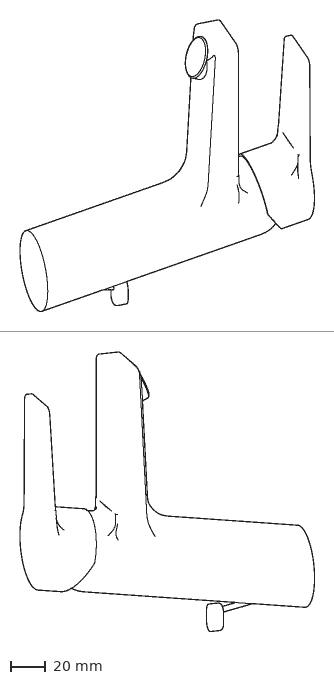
import cadquery as cq
import math

AXIS_TILT = 10.0
TILT_COS = math.cos(math.radians(AXIS_TILT))
TILT_SIN = math.sin(math.radians(AXIS_TILT))

BODY_RADIUS = 23.4
BODY_START = 15.8
BODY_LENGTH = 169.5
BODY_BACK_ROUND = 17.0
BODY_FRONT = 162.5

HANDLE_RADIUS = 24.2
HANDLE_TOP_LENGTH = 29.0
HANDLE_BOTTOM_LENGTH = 18.3
HANDLE_BACK_ROUND = 0.7

LEVER_TOP = 88.3
LEVER_BASE = 3.4
LEVER_TOP_WIDTH = 32.5
LEVER_BASE_WIDTH = 34.7
LEVER_TOP_DEPTH = 4.0
LEVER_BASE_DEPTH = 8.8
LEVER_CORNER_ROUND = 4.2
LEVER_EDGE_ROUND = 0.7
LEVER_SIDE_ROOT_ROUND = 15.3
LEVER_FRONT_ROOT_ROUND = 6.0
LEVER_ROOT_TOP = 26.6

SPOUT_TOP = 107.6
SPOUT_BASE = -3.4
SPOUT_WIDTH = 34.7
SPOUT_BACK = 43.7
SPOUT_CROWN_RADIUS = 32.2
SPOUT_CROWN_TOP = 63.0
SPOUT_FRONT_SLOPE = 3.0
SPOUT_CORNER_ROUND = 4.7
SPOUT_SEAT_EDGE_ROUND = 1.2
SPOUT_BACK_EDGE_ROUND = 1.2
SPOUT_FRONT_ROOT_ROUND = 20.3
SPOUT_BACK_ROOT_ROUND = 5.0
SPOUT_BACK_ROOT_TOP = 20.3

OUTLET_TILT = 24.0
OUTLET_RADIUS = 12.2
OUTLET_CHAMFER = 0.8
OUTLET_FACE_DISTANCE = 64.0
OUTLET_FACE_HEIGHT = 94.7
OUTLET_STANDOFF = 1.0
OUTLET_LENGTH = 8.5

KNOB_WIDTH = 9.8
KNOB_HEIGHT = 16.3
KNOB_BOTTOM = -61.9
KNOB_BACK = 106.6
KNOB_DEPTH = 7.8
KNOB_FRONT_ROUND = 2.0
KNOB_BACK_ROUND = 0.5
ROD_RADIUS = 1.7
ROD_LENGTH = 30.5
ROD_START = 111.9
ROD_HEIGHT = -50.0

OVERSIZE = 101.7
SLAB_SIDE = 4 * OVERSIZE
EDGE_MARGIN = 1.7
ON_SURFACE = 0.02


def plane_facing_front(distance, height, turned_up):
    """Plane facing -Y, turned up by an angle; `distance` is measured from the back plane."""
    angle = math.radians(turned_up)
    normal = (0, -math.cos(angle), math.sin(angle))
    return cq.Plane(origin=(0, -distance, height), xDir=(1, 0, 0), normal=normal)


AXIS_PLANE = plane_facing_front(0, 0, -AXIS_TILT)
OUTLET_PLANE = plane_facing_front(OUTLET_FACE_DISTANCE, OUTLET_FACE_HEIGHT, OUTLET_TILT)


def side_profile(points):
    """Prism across X from (distance from the back plane, height) points."""
    plane = cq.Plane(origin=(0, 0, 0), xDir=(0, -1, 0), normal=(-1, 0, 0))
    return cq.Workplane(plane).polyline(points).close().extrude(OVERSIZE, both=True)


def from_axis(along, above):
    """(distance from the back plane, height) of a place given along and above the body axis."""
    distance = along * TILT_COS + above * TILT_SIN
    height = above * TILT_COS - along * TILT_SIN
    return distance, height


def root_edges(part, radius, near, far):
    """Upper edges lying on the axis cylinder of `radius`, centred between two distances."""
    def on_cylinder(edge):
        for point in edge.positions([0, 0.5, 1]):
            above = point.z * TILT_COS - point.y * TILT_SIN
            if above < 0 or abs(math.hypot(point.x, above) - radius) > ON_SURFACE:
                return False
        return True

    edges = [edge for edge in part.edges().vals() if near < -edge.Center().y < far and on_cylinder(edge)]
    return part.newObject(edges)


def slab_above(height):
    slab = cq.Workplane("XY", origin=(0, 0, height)).rect(SLAB_SIDE, SLAB_SIDE)
    return slab.extrude(2 * OVERSIZE)


def make_body():
    blank = cq.Workplane(AXIS_PLANE).workplane(offset=BODY_START).circle(BODY_RADIUS)
    blank = blank.extrude(BODY_LENGTH + OVERSIZE)
    blank = blank.faces(">Y").edges().fillet(BODY_BACK_ROUND)
    trim = cq.Workplane("XZ").rect(SLAB_SIDE, SLAB_SIDE).extrude(BODY_FRONT)
    return blank.intersect(trim)


def make_spout():
    """Upright bar with a crowned, sloping front, cut slanting at the top as a seat for the outlet."""
    bar = cq.Workplane("XZ", origin=(0, -SPOUT_BACK, SPOUT_BASE))
    bar = bar.rect(SPOUT_WIDTH, 2 * (SPOUT_TOP - SPOUT_BASE)).extrude(OVERSIZE)
    bar = bar.edges("|Y and >Z").fillet(SPOUT_CORNER_ROUND)
    slope = math.radians(SPOUT_FRONT_SLOPE)
    crown_plane = cq.Plane(
        origin=(0, -SPOUT_CROWN_TOP, SPOUT_TOP),
        xDir=(1, 0, 0),
        normal=(0, math.sin(slope), math.cos(slope)),
    )
    crown = cq.Workplane(crown_plane).center(0, SPOUT_CROWN_RADIUS).circle(SPOUT_CROWN_RADIUS)
    crown = crown.extrude(2 * OVERSIZE, both=True)
    seat_cut = cq.Workplane(OUTLET_PLANE).workplane(offset=-OUTLET_STANDOFF)
    seat_cut = seat_cut.circle(SPOUT_WIDTH).extrude(OVERSIZE)
    return bar.intersect(crown).intersect(slab_above(SPOUT_BASE)).cut(seat_cut)


def make_body_with_spout():
    """Body and spout with a large blend on the spout front and sides and a small one behind it."""
    joined = make_body().union(make_spout())
    front_limit = BODY_FRONT / 2
    front_and_sides = root_edges(joined, BODY_RADIUS, SPOUT_BACK + EDGE_MARGIN, front_limit)
    all_about = root_edges(joined, BODY_RADIUS, SPOUT_BACK - EDGE_MARGIN, front_limit)
    part = front_and_sides.fillet(SPOUT_FRONT_ROOT_ROUND)
    back_face = part.faces(cq.selectors.NearestToPointSelector((0, -SPOUT_BACK, SPOUT_TOP / 2)))
    part = back_face.edges(">Z or |Z").fillet(SPOUT_BACK_EDGE_ROUND)
    top_edges = part.faces(">Z").edges("|X")
    part = top_edges.edges("<Y").fillet(SPOUT_SEAT_EDGE_ROUND)
    back_blend = all_about.fillet(SPOUT_BACK_ROOT_ROUND).cut(slab_above(SPOUT_BACK_ROOT_TOP))
    return part.union(back_blend)


def make_outlet():
    disc = cq.Workplane(OUTLET_PLANE).circle(OUTLET_RADIUS).extrude(-OUTLET_LENGTH)
    return disc.faces("<Y").chamfer(OUTLET_CHAMFER)


def make_handle():
    """Tilted cylinder: square front above the axis, undercut below it, vertical back."""
    undercut = (HANDLE_TOP_LENGTH - HANDLE_BOTTOM_LENGTH) / HANDLE_RADIUS
    reach = 2 * HANDLE_RADIUS
    profile = side_profile([
        (0, -reach),
        from_axis(HANDLE_TOP_LENGTH - undercut * reach, -reach),
        from_axis(HANDLE_TOP_LENGTH, 0),
        from_axis(HANDLE_TOP_LENGTH, reach),
        (0, reach),
    ])
    return cq.Workplane(AXIS_PLANE).circle(HANDLE_RADIUS).extrude(OVERSIZE, both=True).intersect(profile)


def make_lever():
    """Blade narrowing and thinning toward its top."""
    base_half = LEVER_BASE_WIDTH / 2
    top_half = LEVER_TOP_WIDTH / 2
    outline = [(-base_half, LEVER_BASE), (base_half, LEVER_BASE), (top_half, LEVER_TOP), (-top_half, LEVER_TOP)]
    blade = cq.Workplane("XZ").polyline(outline).close().extrude(OVERSIZE)
    blade = blade.edges("|Y and >Z").fillet(LEVER_CORNER_ROUND)
    thickness = side_profile([
        (0, LEVER_BASE),
        (LEVER_BASE_DEPTH, LEVER_BASE),
        (LEVER_TOP_DEPTH, LEVER_TOP),
        (0, LEVER_TOP),
    ])
    return blade.intersect(thickness)


def make_handle_with_lever():
    """Handle and lever with a small blend all about the lever root and a large one on its sides."""
    blade = make_lever()
    joined = make_handle().union(blade)
    all_about = root_edges(joined, HANDLE_RADIUS, EDGE_MARGIN, HANDLE_BOTTOM_LENGTH)
    sides = root_edges(joined, HANDLE_RADIUS, EDGE_MARGIN, LEVER_BASE_DEPTH - EDGE_MARGIN)
    root = all_about.fillet(LEVER_FRONT_ROOT_ROUND).union(sides.fillet(LEVER_SIDE_ROOT_ROUND))
    root = root.faces(">Y").edges().fillet(HANDLE_BACK_ROUND)
    root = root.cut(slab_above(LEVER_ROOT_TOP))
    mid_height = LEVER_TOP / 2
    front_and_back = cq.selectors.BoxSelector(
        (-EDGE_MARGIN, -LEVER_BASE_DEPTH, mid_height - LEVER_BASE_DEPTH),
        (EDGE_MARGIN, EDGE_MARGIN, mid_height + LEVER_BASE_DEPTH),
    )
    rounded_blade = blade.faces(front_and_back).edges("not <Z").fillet(LEVER_EDGE_ROUND)
    return root.union(rounded_blade)


def make_knob():
    """Upright knob with rounded ends."""
    centre = KNOB_BOTTOM + KNOB_HEIGHT / 2
    knob = cq.Workplane("XZ", origin=(0, -KNOB_BACK, centre))
    knob = knob.slot2D(KNOB_HEIGHT, KNOB_WIDTH, 90).extrude(KNOB_DEPTH)
    knob = knob.faces("<Y").edges().fillet(KNOB_FRONT_ROUND)
    return knob.faces(">Y").edges().fillet(KNOB_BACK_ROUND)


def make_rod():
    plane = plane_facing_front(ROD_START, ROD_HEIGHT, AXIS_TILT)
    return cq.Workplane(plane).circle(ROD_RADIUS).extrude(ROD_LENGTH)


result = make_body_with_spout()
for feature in (make_outlet(), make_handle_with_lever(), make_rod(), make_knob()):
    result = result.union(feature)